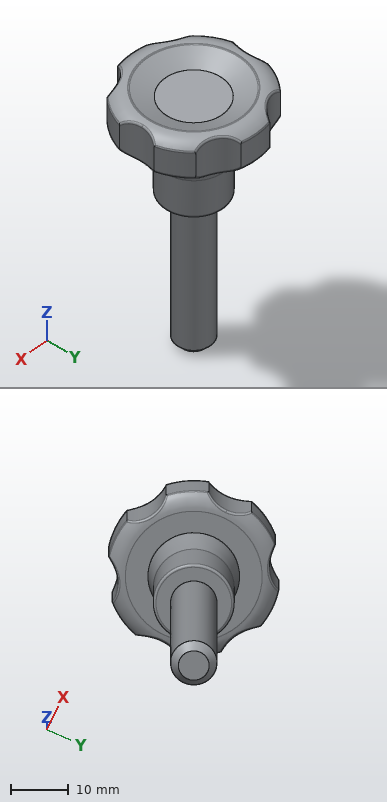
import cadquery as cq
import math

total_height = 59.0
head_diameter = 30.0
head_height = 8.95
head_bottom = total_height - head_height

top_rim_radius = 5.0
top_flat_diameter = 22.85
bottom_rim_radius = 4.0
bottom_flat_diameter = 23.6
rim_edge_radius = 0.5

scallop_count = 6
scallop_radius = 7.0
scallop_opening = 8.15

dish_floor_diameter = 13.6
dish_mouth_diameter = 22.4
dish_depth = 2.0
dish_lip_radius = 0.55

neck_top_diameter = 15.8
hub_diameter = 14.0
hub_top = 43.65
hub_bottom = 35.0
hub_edge_radius = 0.5
pin_diameter = 8.0
pin_tip_diameter = 5.3
pin_tip_height = 1.55


def rim_drop(rim_radius, radial_width):
    """Height lost by an arc that leaves a flat face tangentially."""
    return rim_radius - math.sqrt(rim_radius**2 - radial_width**2)


def rim_midpoint(rim_radius, flat_radius):
    """Radius and drop of a point halfway out along a rim arc."""
    half_width = (head_diameter / 2 - flat_radius) / 2
    return flat_radius + half_width, rim_drop(rim_radius, half_width)


def make_head():
    """Disc with rounded rims, cut by the finger scallops."""
    outer = head_diameter / 2
    top_flat = top_flat_diameter / 2
    bottom_flat = bottom_flat_diameter / 2
    top_drop = rim_drop(top_rim_radius, outer - top_flat)
    bottom_rise = rim_drop(bottom_rim_radius, outer - bottom_flat)
    top_mid, top_mid_drop = rim_midpoint(top_rim_radius, top_flat)
    bottom_mid, bottom_mid_rise = rim_midpoint(bottom_rim_radius, bottom_flat)
    head = (
        cq.Workplane("XZ")
        .moveTo(0, head_bottom)
        .lineTo(bottom_flat, head_bottom)
        .threePointArc(
            (bottom_mid, head_bottom + bottom_mid_rise), (outer, head_bottom + bottom_rise)
        )
        .lineTo(outer, total_height - top_drop)
        .threePointArc((top_mid, total_height - top_mid_drop), (top_flat, total_height))
        .lineTo(0, total_height)
        .close()
        .revolve(360, (0, 0, 0), (0, 1, 0))
    )
    half_opening = scallop_opening / 2
    chord_distance = math.sqrt(outer**2 - half_opening**2)
    scallop_center = chord_distance + math.sqrt(scallop_radius**2 - half_opening**2)
    scallops = (
        cq.Workplane("XY", origin=(0, 0, head_bottom))
        .polarArray(scallop_center, 0, 360, scallop_count)
        .circle(scallop_radius)
        .extrude(head_height)
    )
    head = head.cut(scallops)
    curved_edges = head.edges("not |Z")
    wall_edges = curved_edges.edges("not(<Z or >Z)")
    return wall_edges.fillet(rim_edge_radius)


def make_dish():
    """Conical recess with a flat floor, used as a cutter."""
    return (
        cq.Workplane("XY", origin=(0, 0, total_height - dish_depth))
        .circle(dish_floor_diameter / 2)
        .workplane(offset=dish_depth)
        .circle(dish_mouth_diameter / 2)
        .loft()
    )


def make_stem():
    """Tapered neck, hub and pin."""
    neck = (
        cq.Workplane("XY", origin=(0, 0, hub_top))
        .circle(hub_diameter / 2)
        .workplane(offset=head_bottom - hub_top)
        .circle(neck_top_diameter / 2)
        .loft()
    )
    hub = (
        cq.Workplane("XY", origin=(0, 0, hub_bottom))
        .circle(hub_diameter / 2)
        .extrude(hub_top - hub_bottom)
        .faces("<Z")
        .edges()
        .fillet(hub_edge_radius)
    )
    tip_inset = (pin_diameter - pin_tip_diameter) / 2
    pin = (
        cq.Workplane("XY")
        .circle(pin_diameter / 2)
        .extrude(hub_bottom)
        .faces("<Z")
        .edges()
        .chamfer(pin_tip_height, tip_inset)
    )
    return neck.union(hub).union(pin)


dished_head = make_head().cut(make_dish())
dish_mouth = cq.selectors.RadiusNthSelector(0)
dished_head = dished_head.faces(">Z").edges(dish_mouth).fillet(dish_lip_radius)
result = dished_head.union(make_stem())